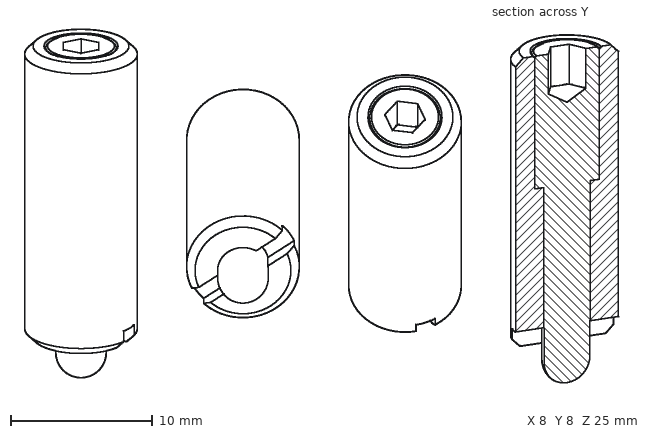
import cadquery as cq
import math

total_length = 25.0
housing_diameter = 8.0
nose_protrusion = 3.0
end_chamfer = 0.6

nose_diameter = 3.6
shank_diameter = 5.0
shank_length = 10.0
shank_chamfer = 0.12
socket_flats = 2.5
socket_depth = 3.0
socket_tip_angle = 120.0

bore_countersink = 0.12
slot_width = 1.45
slot_depth = 1.4

nose_radius = nose_diameter / 2
shank_radius = shank_diameter / 2
shank_bottom = total_length - shank_length
socket_corner_diameter = 2 * socket_flats / math.sqrt(3)


def revolve_about_z(profile):
    """Turn a closed profile, drawn as radius against height, about the Z axis."""
    return profile.close().revolve(360, (0, 0, 0), (0, 1, 0))


def make_housing():
    """Chamfered sleeve with a countersunk stepped bore and a driver slot across its lower end."""
    sleeve = (
        cq.Workplane("XY", origin=(0, 0, nose_protrusion))
        .circle(housing_diameter / 2)
        .extrude(total_length - nose_protrusion)
        .faces("<Z or >Z")
        .chamfer(end_chamfer)
    )
    bore = revolve_about_z(
        cq.Workplane("XZ")
        .lineTo(nose_radius, 0)
        .lineTo(nose_radius, shank_bottom)
        .lineTo(shank_radius, shank_bottom)
        .lineTo(shank_radius, total_length - bore_countersink)
        .lineTo(shank_radius + bore_countersink, total_length)
        .lineTo(0, total_length)
    )
    slot = cq.Workplane("XY", origin=(0, 0, nose_protrusion)).box(
        housing_diameter, slot_width, slot_depth, centered=(True, True, False)
    )
    return sleeve.cut(bore).cut(slot)


def make_socket():
    """Hexagon socket that ends in a drilled conical tip."""
    socket_radius = socket_corner_diameter / 2
    tip_depth = socket_radius / math.tan(math.radians(socket_tip_angle / 2))
    socket_bottom = total_length - socket_depth
    hexagon = (
        cq.Workplane("XY", origin=(0, 0, socket_bottom))
        .polygon(6, socket_corner_diameter)
        .extrude(socket_depth)
    )
    tip = revolve_about_z(
        cq.Workplane("XZ", origin=(0, 0, socket_bottom))
        .lineTo(socket_radius, 0)
        .lineTo(0, -tip_depth)
    )
    return hexagon, tip


def make_pin():
    """Stepped pin with a hemispherical nose and a socketed shank."""
    diagonal = nose_radius * math.sqrt(0.5)
    body = revolve_about_z(
        cq.Workplane("XZ")
        .threePointArc((diagonal, nose_radius - diagonal), (nose_radius, nose_radius))
        .lineTo(nose_radius, shank_bottom)
        .lineTo(shank_radius, shank_bottom)
        .lineTo(shank_radius, total_length - shank_chamfer)
        .lineTo(shank_radius - shank_chamfer, total_length)
        .lineTo(0, total_length)
    )
    hexagon, tip = make_socket()
    return body.cut(hexagon).cut(tip)


housing = make_housing()
pin = make_pin()

result = cq.Compound.makeCompound([housing.val(), pin.val()])